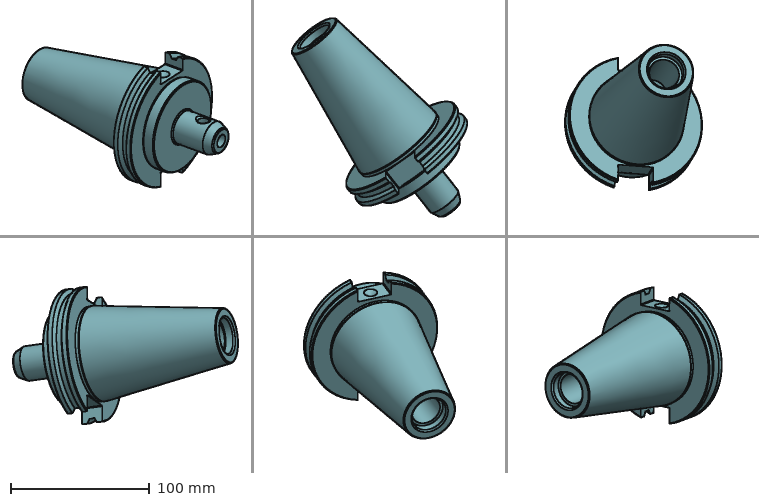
import cadquery as cq
import math


length = 165.1
taper_end = 101.4
flange_start = 104.5
flange_width = 15.8
flange_end = flange_start + flange_width
hub_end = 130.3
shank_end = 157.8

taper_ratio = 7 / 24
gauge_radius = 69.8 / 2
small_end_radius = gauge_radius - taper_end * taper_ratio / 2
small_end_chamfer = 0.7
neck_radius = 69.2 / 2
neck_run_in = 0.8

flange_radius = 98.2 / 2
flange_chamfer = 0.7
groove_center = 112.5
groove_floor_width = 3.8
groove_depth = 3.3
groove_flank_angle = 30.0
groove_half_floor = groove_floor_width / 2
groove_half_mouth = groove_half_floor + groove_depth * math.tan(math.radians(groove_flank_angle))

hub_radius = gauge_radius
hub_relief_width = 1.0
hub_chamfer = 0.8
shank_radius = 25.5 / 2
shank_root = 1.0
nose_radius = 9.9
nose_chamfer = 1.0

mouth_radius = 28.7 / 2
recess_radius = 26.3 / 2
recess_depth = 7.0
thread_bore_radius = 22.0 / 2
thread_bore_end = 49.5
middle_bore_radius = 14.0 / 2
middle_bore_end = 99.0
coolant_radius = 9.5 / 2
drill_half_angle = 59.0

slot_width = 26.1
top_slot_floor = 37.5
bottom_slot_floor = 35.2
slot_corner = 0.5

dimple_radius = 9.5 / 2
dimple_depth = dimple_radius / math.tan(math.radians(drill_half_angle))
cross_hole_x = 149.0
cross_hole_radius = 8.5 / 2
countersink_radius = 5.8


def revolve_about_x(points):
    """Turn a closed (x, radius) outline about the X axis."""
    return cq.Workplane("XY").polyline(points).close().revolve(360, (0, 0, 0), (1, 0, 0))


def make_body():
    chamfer_end_radius = small_end_radius + small_end_chamfer * taper_ratio / 2
    groove_floor_radius = flange_radius - groove_depth
    return revolve_about_x([
        (0, 0),
        (0, small_end_radius - small_end_chamfer),
        (small_end_chamfer, chamfer_end_radius),
        (taper_end, gauge_radius),
        (taper_end + neck_run_in, neck_radius),
        (flange_start, neck_radius),
        (flange_start, flange_radius - flange_chamfer),
        (flange_start + flange_chamfer, flange_radius),
        (groove_center - groove_half_mouth, flange_radius),
        (groove_center - groove_half_floor, groove_floor_radius),
        (groove_center + groove_half_floor, groove_floor_radius),
        (groove_center + groove_half_mouth, flange_radius),
        (flange_end - flange_chamfer, flange_radius),
        (flange_end, flange_radius - flange_chamfer),
        (flange_end, neck_radius),
        (flange_end + hub_relief_width, hub_radius),
        (hub_end - hub_chamfer, hub_radius),
        (hub_end, hub_radius - hub_chamfer),
        (hub_end, shank_radius + shank_root),
        (hub_end + shank_root, shank_radius),
        (shank_end, shank_radius),
        (length - nose_chamfer, nose_radius),
        (length, nose_radius - nose_chamfer),
        (length, 0),
    ])


def make_bore():
    mouth_depth = mouth_radius - recess_radius
    cone_slope = math.tan(math.radians(drill_half_angle))
    thread_cone = (thread_bore_radius - middle_bore_radius) / cone_slope
    middle_cone = (middle_bore_radius - coolant_radius) / cone_slope
    return revolve_about_x([
        (0, 0),
        (0, mouth_radius),
        (mouth_depth, recess_radius),
        (recess_depth, recess_radius),
        (recess_depth, thread_bore_radius),
        (thread_bore_end, thread_bore_radius),
        (thread_bore_end + thread_cone, middle_bore_radius),
        (middle_bore_end, middle_bore_radius),
        (middle_bore_end + middle_cone, coolant_radius),
        (length, coolant_radius),
        (length, 0),
    ])


def make_slot(floor_height, side):
    """Drive slot with chamfered floor corners; side is +1 above the axis, -1 below."""
    slot_cutter = (
        cq.Workplane("XY")
        .box(flange_width, slot_width, flange_radius, centered=(False, True, False))
        .edges("|X and <Z")
        .chamfer(slot_corner)
        .translate((flange_start, 0, floor_height))
    )
    return slot_cutter if side > 0 else slot_cutter.mirror("XY")


def make_dimple():
    cone = cq.Solid.makeCone(
        0, dimple_radius, dimple_depth, cq.Vector(groove_center, 0, top_slot_floor - dimple_depth)
    )
    return cq.Workplane(obj=cone)


def make_cross_hole():
    """Radial hole from the top of the shank to the bore, with a 45 degree countersink."""
    countersink_depth = countersink_radius - cross_hole_radius
    hole = cq.Workplane("XY").center(cross_hole_x, 0).circle(cross_hole_radius).extrude(shank_radius)
    countersink = cq.Solid.makeCone(
        cross_hole_radius,
        countersink_radius,
        countersink_depth,
        cq.Vector(cross_hole_x, 0, shank_radius - countersink_depth),
    )
    return hole.union(cq.Workplane(obj=countersink))


result = (
    make_body()
    .cut(make_bore())
    .cut(make_slot(top_slot_floor, 1))
    .cut(make_slot(bottom_slot_floor, -1))
    .cut(make_dimple())
    .cut(make_cross_hole())
)